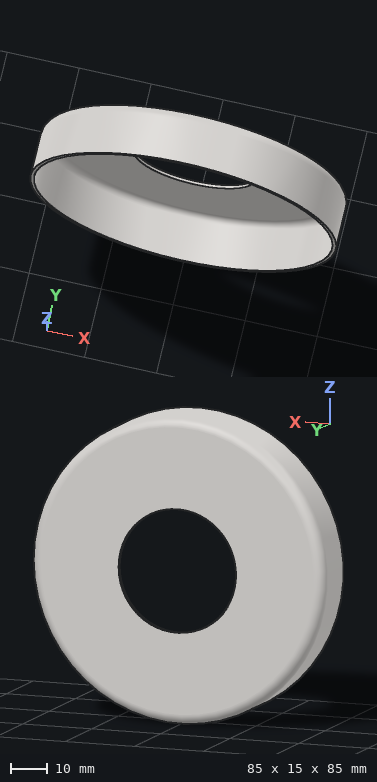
import cadquery as cq

outer_diameter = 85.0
height = 15.0
wall = 1.0
outer_corner_radius = 3.0
bore_diameter = 34.0

outer_radius = outer_diameter / 2
inner_corner_radius = outer_corner_radius - wall
rim_y = -height / 2
back_y = height / 2


def cup_body(radius, corner_radius, closed_y):
    """Disc running along Y from the rim to closed_y, rounded at its closed end."""
    disc = cq.Workplane("XZ", origin=(0, closed_y, 0)).circle(radius).extrude(closed_y - rim_y)
    return disc.faces(">Y").edges().fillet(corner_radius)


shell = cup_body(outer_radius, outer_corner_radius, back_y)
cavity = cup_body(outer_radius - wall, inner_corner_radius, back_y - wall)

bore = cq.Workplane("XZ", origin=(0, back_y, 0)).circle(bore_diameter / 2).extrude(height)

result = shell.cut(cavity).cut(bore)